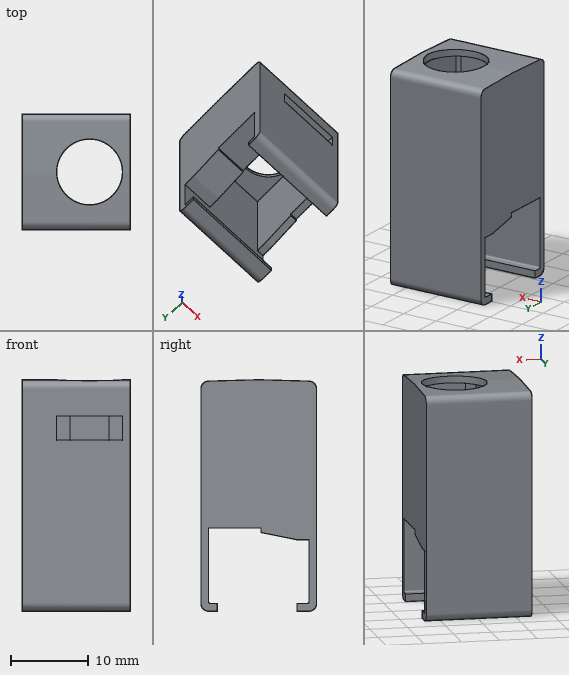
import cadquery as cq

length = 14.0
width = 15.0
height = 30.0
half_width = width / 2

wall = 1.02
corner_radius = 1.02
ridge_rise = 0.2
back_lip_reach = 2.58
front_lip_reach = 2.13
lip_inner_fillet = 0.2

body_bottom = 10.77
slope_top = 10.2
body_low_bottom = 9.27
step_y = 0.27
slope_start_y = 4.85

hole_diameter = 8.5
shaft_length = 8.55
shaft_center_x = 8.73

window_bottom = 22.17
window_height = 3.1
rib_length = 5.05
rib_depth = 1.5

inner_y = half_width - wall
eave_z = height - ridge_rise
roof_underside = height - wall


def box(size_x, size_y, size_z, center_x, center_y, bottom_z):
    """Box centred at a point in X and Y, standing on the given height."""
    return (
        cq.Workplane("XY")
        .box(size_x, size_y, size_z, centered=(True, True, False))
        .translate((center_x, center_y, bottom_z))
    )


def make_body():
    """Extrude the ridged outline and round its four long outer corners."""
    outline = [
        (-half_width, 0),
        (half_width, 0),
        (half_width, eave_z),
        (0, height),
        (-half_width, eave_z),
    ]
    body = cq.Workplane("YZ").polyline(outline).close().extrude(length)
    long_corners = body.faces("<Y or >Y").edges("|X")
    return long_corners.fillet(corner_radius)


def make_channel():
    """Open lower channel between the side walls, with a slot between the lips."""
    outline = [
        (-inner_y, wall),
        (inner_y, wall),
        (inner_y, body_low_bottom),
        (slope_start_y, body_low_bottom),
        (step_y, slope_top),
        (step_y, body_bottom),
        (-inner_y, body_bottom),
    ]
    channel = cq.Workplane("YZ").polyline(outline).close().extrude(length)
    lip_corners = channel.faces("<Z").edges("|X")
    channel = lip_corners.fillet(lip_inner_fillet)
    gap_width = width - back_lip_reach - front_lip_reach
    gap_y = (front_lip_reach - back_lip_reach) / 2
    lip_gap = box(length, gap_width, 2 * wall, length / 2, gap_y, 0)
    return channel.union(lip_gap)


def make_shaft():
    """Shaft from the channel up to the roof, leaving a rib on the front wall."""
    shaft_bottom = body_low_bottom
    shaft_height = roof_underside - shaft_bottom
    shaft = box(shaft_length, 2 * inner_y, shaft_height, shaft_center_x, 0, shaft_bottom)
    rib_y = -inner_y + rib_depth / 2
    rib_bottom = body_bottom
    rib_height = roof_underside - rib_bottom
    rib = box(rib_length, rib_depth, rib_height, shaft_center_x, rib_y, rib_bottom)
    return shaft.cut(rib)


def make_roof_hole():
    """Round opening through the roof into the shaft."""
    return (
        cq.Workplane("XY", origin=(shaft_center_x, 0, roof_underside))
        .circle(hole_diameter / 2)
        .extrude(wall)
    )


def make_window():
    """Rectangular opening through the front wall, as long as the shaft."""
    window_y = -half_width + wall / 2
    return box(shaft_length, wall, window_height, shaft_center_x, window_y, window_bottom)


result = make_body()
for opening in (make_channel(), make_shaft(), make_roof_hole(), make_window()):
    result = result.cut(opening)